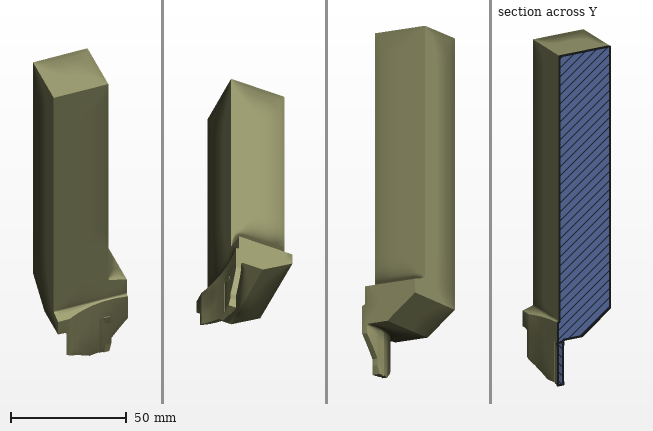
import cadquery as cq
import math

WIDTH = 30.5
DEPTH = 33.8
HEIGHT = 152.4

SHANK = 25.3
SIDE_TAPER = 0.3
HEAD_BOTTOM = 20.5
FLANGE_SLOPE = math.tan(math.radians(15))
SIDE_FLANGE_TOP = 27.9
BACK_FLANGE_TOP = 37.5
ROOT_RADIUS = 0.9
BEVEL_RUN = 14.0
BEVEL_TOP = 31.4

OUTER_RADIUS = 50.0
INNER_RADIUS = 38.1
BLADE_THICKNESS = 2.6
BLADE_APEX_X = 23.5
ARC_Y = 25.9
BLADE_FRONT = 3.7
BLADE_FRONT_BOTTOM = 8.0
BLADE_BOTTOM = 0.6
BLADE_TOE_Y = 16.0
FINGER_BOTTOM = 6.7
FINGER_BACK_BOTTOM = 16.5

INSERT_LENGTH = 19.7
INSERT_FRONT = 20.7
INSERT_BACK = 26.4
INSERT_LEFT = BLADE_APEX_X
INSERT_RIGHT = INSERT_LEFT + BLADE_THICKNESS
TIP_FLARE = 0.5
TIP_LENGTH = 3.8
TIP_DROP = 1.0
TIP_FRONT = 22.7
TIP_SLANT = 1.0


def along_y(points, y_start, y_end):
    """Extrude an (x, z) outline from y_start to y_end."""
    plane = cq.Workplane("XZ", origin=(0, y_start, 0))
    return plane.polyline(points).close().extrude(y_start - y_end)


def along_x(points, x_start, x_end):
    """Extrude a (y, z) outline from x_start to x_end."""
    plane = cq.Workplane("YZ", origin=(x_start, 0, 0))
    return plane.polyline(points).close().extrude(x_end - x_start)


def curve_cylinder(apex_x, radius):
    """Vertical cylinder whose -X side touches apex_x."""
    return cq.Workplane("XY").center(apex_x + radius, ARC_Y).circle(radius).extrude(HEIGHT)


def make_outer_curve():
    return curve_cylinder(BLADE_APEX_X + BLADE_THICKNESS, OUTER_RADIUS)


def round_root(body, direction, root_height):
    """Fillet the shank root, the only edge along direction at its height."""
    nearest = {"Y": (SHANK, DEPTH / 2, root_height), "X": (WIDTH / 2, SHANK, root_height)}[direction]
    return body.edges("|" + direction).edges(cq.NearestToPointSelector(nearest)).fillet(ROOT_RADIUS)


def make_head_and_shank():
    side_root = SIDE_FLANGE_TOP + (WIDTH - SHANK) * FLANGE_SLOPE
    front_shape = along_y(
        [
            (0, BEVEL_TOP),
            (BEVEL_RUN, HEAD_BOTTOM),
            (WIDTH, HEAD_BOTTOM),
            (WIDTH, SIDE_FLANGE_TOP),
            (SHANK, side_root),
            (SHANK, HEIGHT),
            (0, HEIGHT),
        ],
        0,
        DEPTH,
    )
    back_root = BACK_FLANGE_TOP + (DEPTH - SHANK) * FLANGE_SLOPE
    side_shape = along_x(
        [
            (0, HEAD_BOTTOM),
            (DEPTH, HEAD_BOTTOM),
            (DEPTH, BACK_FLANGE_TOP),
            (SHANK, back_root),
            (SHANK, HEIGHT),
            (0, HEIGHT),
        ],
        0,
        WIDTH,
    )
    front_shape = round_root(front_shape, "Y", side_root)
    side_shape = round_root(side_shape, "X", back_root)
    taper = cq.Workplane("XY").polyline([(0, 0), (SIDE_TAPER, 0), (0, DEPTH)]).close().extrude(HEIGHT)
    return front_shape.intersect(side_shape).cut(taper).cut(make_outer_curve())


def make_blade():
    outline = [
        (BLADE_FRONT, HEAD_BOTTOM),
        (BLADE_FRONT, BLADE_FRONT_BOTTOM),
        (BLADE_TOE_Y, BLADE_BOTTOM),
        (INSERT_FRONT, BLADE_BOTTOM),
        (INSERT_FRONT, FINGER_BOTTOM),
        (INSERT_BACK, FINGER_BOTTOM),
        (DEPTH, FINGER_BACK_BOTTOM),
        (DEPTH, HEAD_BOTTOM),
    ]
    slab = along_x(outline, 0, WIDTH)
    inner_curve = curve_cylinder(BLADE_APEX_X, INNER_RADIUS)
    return slab.intersect(inner_curve).cut(make_outer_curve())


def round_blade_root(holder):
    """Fillet the inner side of the blade into the head."""
    apex = (BLADE_APEX_X, ARC_Y, HEAD_BOTTOM)
    return holder.edges(cq.NearestToPointSelector(apex)).fillet(ROOT_RADIUS)


def make_insert_bar(x_start, x_end):
    """Bar with the insert's side outline: the rake face falls towards both cutting edges."""
    profile = [
        (INSERT_FRONT, 0),
        (INSERT_BACK - TIP_DROP, 0),
        (INSERT_BACK, TIP_LENGTH),
        (INSERT_BACK, INSERT_LENGTH - TIP_LENGTH),
        (INSERT_BACK - TIP_DROP, INSERT_LENGTH),
        (INSERT_FRONT, INSERT_LENGTH),
    ]
    return along_x(profile, x_start, x_end)


def make_holder():
    holder = round_blade_root(make_head_and_shank().union(make_blade()))
    return holder.cut(make_insert_bar(0, WIDTH)).solids()


def make_insert():
    middle = INSERT_LENGTH / 2
    insert = make_insert_bar(INSERT_LEFT, INSERT_RIGHT)
    flare = along_y(
        [
            (INSERT_LEFT - TIP_FLARE, 0),
            (INSERT_RIGHT + TIP_FLARE, 0),
            (INSERT_RIGHT, TIP_LENGTH),
            (INSERT_LEFT, TIP_LENGTH),
        ],
        INSERT_FRONT,
        INSERT_BACK,
    )
    flare_limits = along_x(
        [
            (TIP_FRONT, 0),
            (INSERT_BACK - TIP_DROP, 0),
            (INSERT_BACK, TIP_LENGTH),
            (TIP_FRONT + TIP_SLANT, TIP_LENGTH),
        ],
        0,
        WIDTH,
    )
    tip = flare.intersect(flare_limits)
    return insert.union(tip).union(tip.mirror("XY", (0, 0, middle))).solids()


holder = make_holder()
insert = make_insert()
result = cq.Compound.makeCompound([holder.val(), insert.val()])